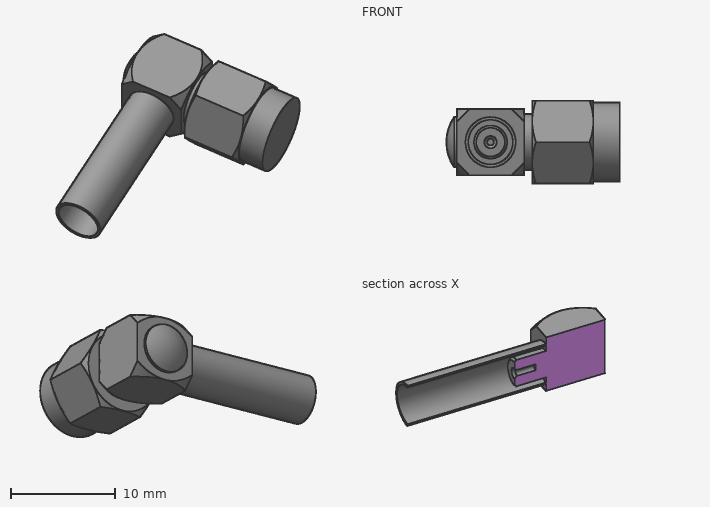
import cadquery as cq
import math


body_length = 6.42
body_width = 6.35
corner_cut = 1.22

cap_radius = 2.4
cap_rim = 0.27
dome_height = 0.75

neck_radius = 2.7
nut_start = 3.95
nut_length = 5.85
nut_flats = 7.94
nut_face_radius = 3.93
nut_chamfer_angle = 30
collar_radius = 3.8
collar_length = 2.5

tube_radius = 2.4
tube_bore_radius = 2.13
tube_end = 18.02
ferrule_radius = 1.58
ferrule_length = 3.4
ferrule_chamfer = 0.215
pin_hole_radius = 0.32
pin_hole_depth = 2.25
countersink_radius = 0.59

half_length = body_length / 2
half_width = body_width / 2
overlap = 0.23


def x_cylinder(radius, start, length):
    return cq.Workplane("YZ", origin=(start, 0, 0)).circle(radius).extrude(length)


def y_cylinder(radius, start, length):
    """Cylinder on the tube axis, running from Y = -start toward -Y."""
    return cq.Workplane("XZ", origin=(0, -start, 0)).circle(radius).extrude(length)


def corner_cutter(side_x, side_z):
    """Curved 45-degree cutter for one Y edge, touching it only at its middle."""
    depth = corner_cut / math.sqrt(2)
    clearance = 2 * depth
    plane = cq.Plane(
        origin=(side_x * half_length, 0, side_z * half_width),
        xDir=(0, 1, 0),
        normal=(side_x, 0, -side_z),
    )
    outward = side_x * side_z
    return (
        cq.Workplane(plane)
        .moveTo(-half_width, -outward * depth)
        .threePointArc((0, 0), (half_width, -outward * depth))
        .lineTo(half_width, outward * clearance)
        .lineTo(-half_width, outward * clearance)
        .close()
        .extrude(body_width / 2, both=True)
    )


def make_body():
    body = cq.Workplane("XY").box(body_length, body_width, body_width)
    for side_x in (-1, 1):
        for side_z in (-1, 1):
            body = body.cut(corner_cutter(side_x, side_z))
    return body


def make_cap():
    rim_x = -half_length - cap_rim
    inner_x = -half_length + overlap
    sphere_radius = (cap_radius**2 + dome_height**2) / (2 * dome_height)
    apex_x = rim_x - dome_height
    mid_y = cap_radius / 2
    mid_x = apex_x + sphere_radius - math.sqrt(sphere_radius**2 - mid_y**2)
    return (
        cq.Workplane("XY")
        .moveTo(inner_x, 0)
        .lineTo(inner_x, cap_radius)
        .lineTo(rim_x, cap_radius)
        .threePointArc((mid_x, mid_y), (apex_x, 0))
        .close()
        .revolve(360, (0, 0, 0), (1, 0, 0))
    )


def make_nut():
    corner_diameter = nut_flats / math.cos(math.pi / 6)
    corner_radius = corner_diameter / 2
    chamfer_run = (corner_radius - nut_face_radius) * math.tan(math.radians(nut_chamfer_angle))
    nut_end = nut_start + nut_length
    hexagon = (
        cq.Workplane("YZ", origin=(nut_start, 0, 0))
        .polygon(6, corner_diameter)
        .extrude(nut_length)
    )
    envelope = (
        cq.Workplane("XY")
        .moveTo(nut_start, 0)
        .lineTo(nut_start, nut_face_radius)
        .lineTo(nut_start + chamfer_run, corner_radius)
        .lineTo(nut_end - chamfer_run, corner_radius)
        .lineTo(nut_end, nut_face_radius)
        .lineTo(nut_end, 0)
        .close()
        .revolve(360, (0, 0, 0), (1, 0, 0))
    )
    neck = x_cylinder(neck_radius, half_length - overlap, nut_start - half_length + 2 * overlap)
    collar = x_cylinder(collar_radius, nut_end - overlap, collar_length + overlap)
    return hexagon.intersect(envelope).union(neck).union(collar)


def make_tube():
    start = half_width - overlap
    outer = y_cylinder(tube_radius, start, tube_end - start)
    bore = y_cylinder(tube_bore_radius, half_width, tube_end - half_width)
    return outer.cut(bore)


def make_ferrule():
    start = half_width - overlap
    ferrule = (
        y_cylinder(ferrule_radius, start, ferrule_length + overlap)
        .faces("<Y")
        .chamfer(ferrule_chamfer)
    )
    hole_start = half_width + ferrule_length - pin_hole_depth
    hole = y_cylinder(pin_hole_radius, hole_start, pin_hole_depth)
    hole_rim = cq.selectors.RadiusNthSelector(0)
    drilled = ferrule.cut(hole)
    return drilled.faces("<Y").edges(hole_rim).chamfer(countersink_radius - pin_hole_radius)


result = make_body()
for piece in (make_cap(), make_nut(), make_tube(), make_ferrule()):
    result = result.union(piece)